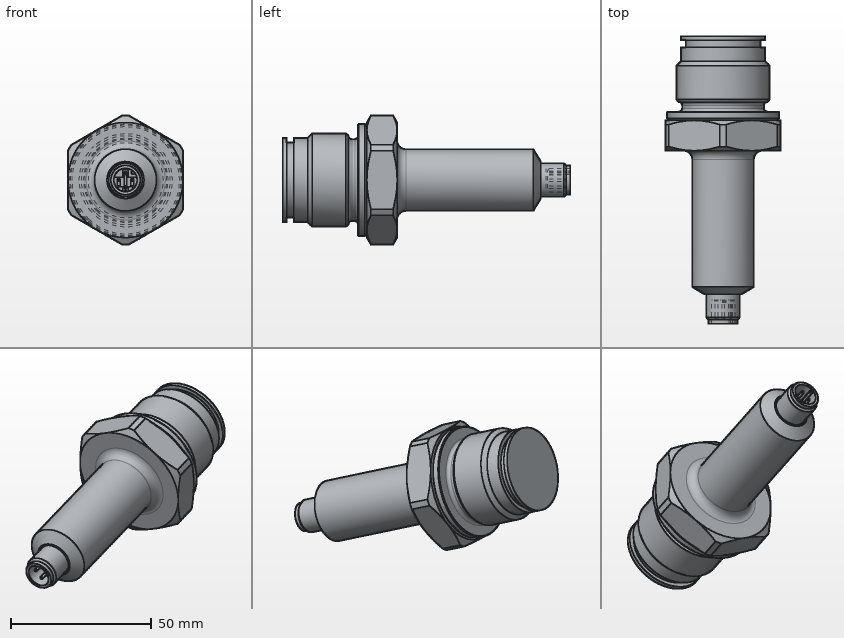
import cadquery as cq
import math


end_y = 102.5
collar_diameter = 30.0
end_flange_thickness = 1.4
ring_groove_diameter = 26.8
ring_groove_width = 2.6
collar_length = 4.9
thread_diameter = 33.2
thread_bottom_y = 80.0
thread_chamfer_drop = 0.77
thread_chamfer_length = 0.9

neck_diameter = 29.2
relief_radius = 1.2
flange_top_y = 75.6

flange_diameter = 40.0
flange_edge_chamfer = 0.3
flange_foot_diameter = 38.2
flange_bottom_y = 73.2

hex_across_flats = 41.0
hex_corner_diameter = 46.0
hex_top_y = 72.5
hex_thickness = 10.8
hex_chamfer_angle = 30.0
hex_half_sector = 30.0

tube_diameter = 22.0
tube_fillet_radius = 3.1
tube_end_y = 13.2
tube_cone_end_y = 10.6
tube_cone_end_diameter = 13.2

plug_diameter = 12.0
plug_nose_diameter = 10.5
plug_nose_y = 1.5
plug_mouth_y = 0.0
socket_diameter = 8.3
socket_floor_y = 8.2

pin_diameter = 1.0
pin_tip_diameter = 0.8
pin_tip_y = 1.8
pin_taper_length = 0.2
pin_circle_radius = 2.5
pin_anchor_depth = 1.0
floor_relief_depth = 0.5
web_half_width = 1.0
upper_pocket_z = 1.0
lower_pocket_z = -2.4
lower_pocket_width = 1.6
side_slot_length = 1.9
vent_diameter = 0.4
vent_z = -3.7

block_height = 0.5
block_bottom_z = 3.6
block_chamfer = 0.3

key_diameter = 1.2
key_offset = 2.7
key_start_y = 0.5


def bar(x_min, x_max, y_min, y_max, z_min, z_max):
    """Box given by its limits along the three axes."""
    size = (x_max - x_min, y_max - y_min, z_max - z_min)
    return cq.Workplane("XY").box(*size, centered=False).translate((x_min, y_min, z_min))


def rod(diameter, y_min, y_max, x=0.0, z=0.0):
    """Round rod parallel to the Y axis."""
    length = y_max - y_min
    return cq.Workplane("XZ", origin=(x, y_min, z)).circle(diameter / 2).extrude(-length)


def threaded_end():
    """Grooved collar, thread body, relief neck and flange, down to the hexagon."""
    collar_r = collar_diameter / 2
    ring_r = ring_groove_diameter / 2
    thread_r = thread_diameter / 2
    neck_r = neck_diameter / 2
    flange_r = flange_diameter / 2
    groove_top_y = end_y - end_flange_thickness
    groove_bottom_y = groove_top_y - ring_groove_width
    collar_bottom_y = groove_bottom_y - collar_length
    relief_top_y = thread_bottom_y - thread_chamfer_length
    relief_r = thread_r - thread_chamfer_drop
    arc_middle = relief_radius * (1 - math.sqrt(0.5))

    return (
        cq.Workplane("XY")
        .moveTo(0, end_y)
        .lineTo(collar_r, end_y)
        .lineTo(collar_r, groove_top_y)
        .lineTo(ring_r, groove_top_y)
        .lineTo(ring_r, groove_bottom_y)
        .lineTo(collar_r, groove_bottom_y)
        .lineTo(collar_r, collar_bottom_y)
        .lineTo(thread_r, collar_bottom_y - (thread_r - collar_r))
        .lineTo(thread_r, thread_bottom_y)
        .lineTo(relief_r, relief_top_y)
        .threePointArc(
            (neck_r + arc_middle, relief_top_y - arc_middle),
            (neck_r, relief_top_y - relief_radius),
        )
        .lineTo(neck_r, flange_top_y + relief_radius)
        .threePointArc(
            (neck_r + arc_middle, flange_top_y + arc_middle),
            (neck_r + relief_radius, flange_top_y),
        )
        .lineTo(flange_r - flange_edge_chamfer, flange_top_y)
        .lineTo(flange_r, flange_top_y - flange_edge_chamfer)
        .lineTo(flange_r, flange_bottom_y)
        .lineTo(flange_foot_diameter / 2, hex_top_y)
        .lineTo(0, hex_top_y)
        .close()
        .revolve(360, (0, 0), (0, 1))
    )


def hexagon():
    """Hexagon with corners up and down, turned to a corner diameter and chamfered on both faces."""
    hex_bottom_y = hex_top_y - hex_thickness
    face_r = hex_across_flats / 2
    corner_r = hex_corner_diameter / 2
    chamfer_length = (corner_r - face_r) * math.tan(math.radians(hex_chamfer_angle))
    sharp_diameter = hex_across_flats / math.cos(math.radians(hex_half_sector))
    prism = (
        cq.Workplane("XZ", origin=(0, hex_bottom_y, 0))
        .polygon(6, sharp_diameter)
        .extrude(-hex_thickness)
        .rotate((0, 0, 0), (0, 1, 0), hex_half_sector)
    )
    turned_blank = (
        cq.Workplane("XY")
        .moveTo(0, hex_bottom_y)
        .lineTo(face_r, hex_bottom_y)
        .lineTo(corner_r, hex_bottom_y + chamfer_length)
        .lineTo(corner_r, hex_top_y - chamfer_length)
        .lineTo(face_r, hex_top_y)
        .lineTo(0, hex_top_y)
        .close()
        .revolve(360, (0, 0), (0, 1))
    )
    return prism.intersect(turned_blank)


def tube_and_plug():
    """Tube below the hexagon, its conical end and the outside of the plug."""
    hex_bottom_y = hex_top_y - hex_thickness
    tube_r = tube_diameter / 2
    plug_r = plug_diameter / 2
    nose_r = plug_nose_diameter / 2
    arc_middle = tube_fillet_radius * (1 - math.sqrt(0.5))
    return (
        cq.Workplane("XY")
        .moveTo(0, hex_bottom_y)
        .lineTo(tube_r + tube_fillet_radius, hex_bottom_y)
        .threePointArc(
            (tube_r + arc_middle, hex_bottom_y - arc_middle),
            (tube_r, hex_bottom_y - tube_fillet_radius),
        )
        .lineTo(tube_r, tube_end_y)
        .lineTo(tube_cone_end_diameter / 2, tube_cone_end_y)
        .lineTo(plug_r, tube_cone_end_y)
        .lineTo(plug_r, plug_nose_y + (plug_r - nose_r))
        .lineTo(nose_r, plug_nose_y)
        .lineTo(nose_r, plug_mouth_y)
        .lineTo(0, plug_mouth_y)
        .close()
        .revolve(360, (0, 0), (0, 1))
    )


def floor_relief():
    """Shallow pockets and slots sunk into the socket floor, within the socket bore."""
    top_y = socket_floor_y
    deep_y = socket_floor_y + floor_relief_depth
    reach = socket_diameter / 2
    slot_half = pin_diameter / 2
    outer_x = web_half_width + lower_pocket_width

    relief = bar(-slot_half, slot_half, top_y, deep_y, -pin_circle_radius, pin_circle_radius)
    for side in (-1, 1):
        upper_x = sorted((side * web_half_width, side * reach))
        lower_x = sorted((side * web_half_width, side * outer_x))
        slot_x = side * pin_circle_radius
        upper_pocket = bar(*upper_x, top_y, deep_y, upper_pocket_z, reach)
        lower_pocket = bar(*lower_x, top_y, deep_y, -reach, lower_pocket_z)
        side_slot = bar(slot_x - slot_half, slot_x + slot_half, top_y, deep_y, -side_slot_length, 0)
        relief = relief.union(upper_pocket).union(lower_pocket).union(side_slot)

    relief = relief.union(rod(vent_diameter, top_y, deep_y, z=vent_z))
    return relief.intersect(rod(socket_diameter, top_y, deep_y))


def floor_block():
    """Block on the socket floor, joined to the socket wall and chamfered along its lower front edge."""
    wall_z = (socket_diameter + plug_nose_diameter) / 4
    front_y = socket_floor_y - block_height
    back_y = socket_floor_y + floor_relief_depth
    block = bar(-web_half_width, web_half_width, front_y, back_y, block_bottom_z, wall_z)
    return block.faces("<Y").edges("<Z").chamfer(block_chamfer)


def coding_key():
    """Round rib set into the socket wall, running down to the floor."""
    return rod(key_diameter, key_start_y, socket_floor_y + floor_relief_depth, key_offset, key_offset)


def contact_pin(x, z):
    """Contact pin with a tapered tip."""
    base_y = socket_floor_y + pin_anchor_depth
    pin_r = pin_diameter / 2
    return (
        cq.Workplane("XY")
        .moveTo(0, pin_tip_y)
        .lineTo(pin_tip_diameter / 2, pin_tip_y)
        .lineTo(pin_r, pin_tip_y + pin_taper_length)
        .lineTo(pin_r, base_y)
        .lineTo(0, base_y)
        .close()
        .revolve(360, (0, 0), (0, 1))
        .translate((x, 0, z))
    )


body = threaded_end().union(hexagon()).union(tube_and_plug())
body = body.cut(rod(socket_diameter, plug_mouth_y, socket_floor_y))
body = body.cut(floor_relief())
body = body.union(floor_block()).union(coding_key())
for quarter in range(4):
    angle = math.radians(90 * quarter)
    pin_x = pin_circle_radius * math.cos(angle)
    pin_z = pin_circle_radius * math.sin(angle)
    body = body.union(contact_pin(pin_x, pin_z))

result = body